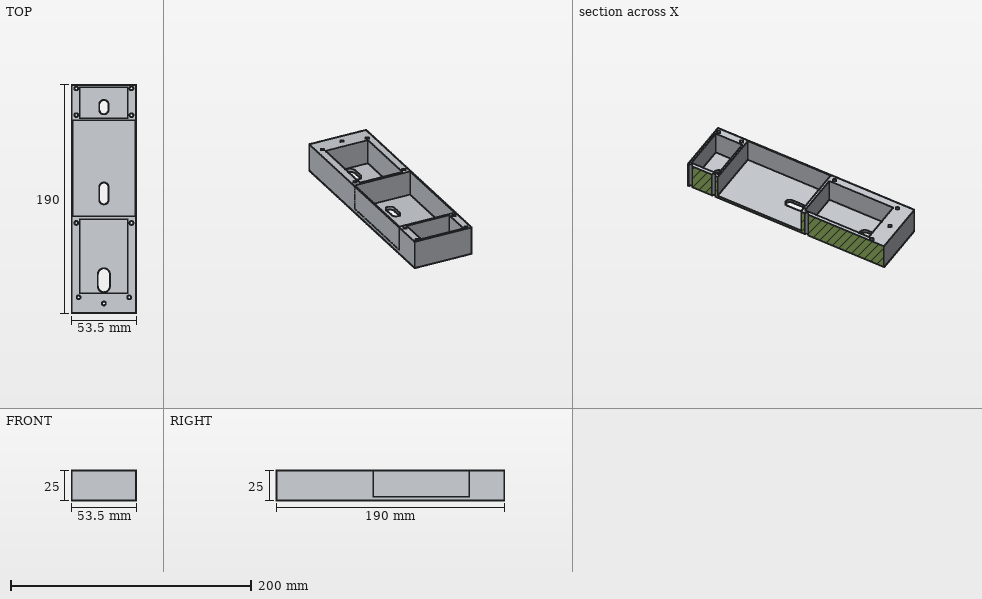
import cadquery as cq

WIDTH = 53.5
LENGTH = 190.0
HEIGHT = 25.0
BACK = LENGTH / 2

POCKET_DEPTH = 22.0
END_POCKET_WIDTH = 39.9
SIDE_WALL = 0.8
MIDDLE_POCKET_WIDTH = WIDTH - 2 * SIDE_WALL
REAR_POCKET = (1.9, 27.5)
MIDDLE_POCKET = (29.3, 109.5)
FRONT_POCKET = (111.7, 173.5)

SMALL_SLOT_WIDTH = 7.6
LARGE_SLOT_WIDTH = 9.9
REAR_SLOT = (12.5, 24.3)
MIDDLE_SLOT = (81.3, 99.4)
FRONT_SLOT = (152.8, 172.5)

HOLE_DIAMETER = 3.0
HOLE_OFFSET = 23.0
FRONT_HOLE_OFFSET = 21.0
WIDE_HOLE_ROWS = (2.8, 25.0, 115.0)
FRONT_HOLE_ROW = 176.9
CENTRE_HOLE_ROW = 182.0


def pocket(width, span):
    """Rectangular pocket cutter spanning two distances from the rear face."""
    start, end = span
    return (
        cq.Workplane("XY", origin=(0, BACK - (start + end) / 2, HEIGHT - POCKET_DEPTH))
        .rect(width, end - start)
        .extrude(POCKET_DEPTH)
    )


def slot(width, span):
    """Round-ended slot cutter, long in Y, through the full height."""
    start, end = span
    return (
        cq.Workplane("XY", origin=(0, BACK - (start + end) / 2, 0))
        .slot2D(end - start, width, 90)
        .extrude(HEIGHT)
    )


def screw_holes():
    """Cutters for the screw pairs and the single centre hole."""
    centres = [(0, BACK - CENTRE_HOLE_ROW)]
    for side in (-1, 1):
        for row in WIDE_HOLE_ROWS:
            centres.append((side * HOLE_OFFSET, BACK - row))
        centres.append((side * FRONT_HOLE_OFFSET, BACK - FRONT_HOLE_ROW))
    return cq.Workplane("XY").pushPoints(centres).circle(HOLE_DIAMETER / 2).extrude(HEIGHT)


result = cq.Workplane("XY").box(WIDTH, LENGTH, HEIGHT, centered=(True, True, False))

result = result.cut(pocket(END_POCKET_WIDTH, REAR_POCKET))
result = result.cut(pocket(MIDDLE_POCKET_WIDTH, MIDDLE_POCKET))
result = result.cut(pocket(END_POCKET_WIDTH, FRONT_POCKET))

result = result.cut(slot(SMALL_SLOT_WIDTH, REAR_SLOT))
result = result.cut(slot(SMALL_SLOT_WIDTH, MIDDLE_SLOT))
result = result.cut(slot(LARGE_SLOT_WIDTH, FRONT_SLOT))

result = result.cut(screw_holes())